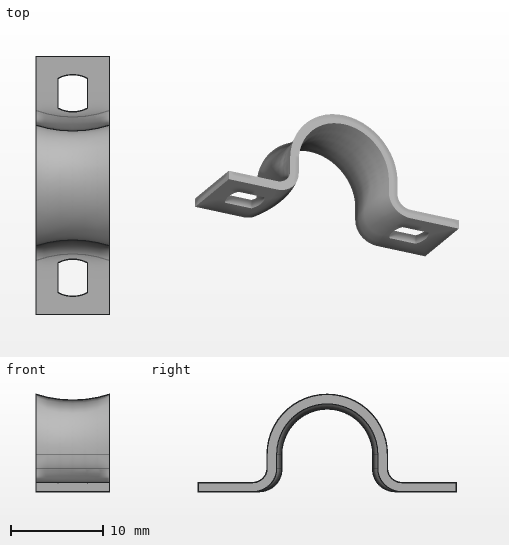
import cadquery as cq
import math

length = 28.0
width = 8.0
height = 10.58
thickness = 1.0

bore_radius = 4.9
waist_inner_radius = 14.0
waist_outer_radius = waist_inner_radius - thickness
waist_center = bore_radius + waist_inner_radius

bend_radius = 1.5
bend_outer_radius = bend_radius + thickness

slot_spacing = 20.0
slot_width = 3.15
slot_length = 4.0
slot_end_rise = 0.4

half_width = width / 2
edge_inner = waist_center - math.sqrt(waist_inner_radius**2 - half_width**2)
edge_outer = waist_center - math.sqrt(waist_outer_radius**2 - half_width**2)
crown_axis_z = height - edge_outer


def make_crown():
    """Half turn of the curved sheet section about the horizontal X axis."""
    section = (
        cq.Workplane("XY")
        .moveTo(-half_width, edge_inner)
        .threePointArc((0, bore_radius), (half_width, edge_inner))
        .lineTo(half_width, edge_outer)
        .threePointArc((0, bore_radius + thickness), (-half_width, edge_outer))
        .close()
    )
    crown = section.revolve(180, (0, 0, 0), (1, 0, 0))
    return crown.translate((0, 0, crown_axis_z))


def make_leg():
    """Wall, bend and foot on the +Y side, turned about the vertical waist axis."""
    wall_inner = bore_radius
    wall_outer = bore_radius + thickness
    bend_y = wall_outer + bend_radius
    bend_z = bend_outer_radius
    diagonal = math.sqrt(0.5)
    profile = (
        cq.Workplane("YZ")
        .moveTo(wall_inner, crown_axis_z)
        .lineTo(wall_inner, bend_z)
        .threePointArc(
            (bend_y - bend_outer_radius * diagonal, bend_z - bend_outer_radius * diagonal),
            (bend_y, 0),
        )
        .lineTo(waist_center, 0)
        .lineTo(waist_center, thickness)
        .lineTo(bend_y, thickness)
        .threePointArc(
            (bend_y - bend_radius * diagonal, bend_z - bend_radius * diagonal),
            (wall_outer, bend_z),
        )
        .lineTo(wall_outer, crown_axis_z)
        .close()
    )
    turned = profile.revolve(360, (waist_center, 0, 0), (waist_center, 1, 0))
    envelope = cq.Workplane("XY").box(width, length / 2, height, centered=(True, False, False))
    return turned.intersect(envelope)


def make_slot(center_y):
    """Cutter for one slot through a foot."""
    half_slot = slot_width / 2
    half_length = slot_length / 2
    half_side = half_length - slot_end_rise
    return (
        cq.Workplane("XY")
        .center(0, center_y)
        .moveTo(-half_slot, -half_side)
        .threePointArc((0, -half_length), (half_slot, -half_side))
        .lineTo(half_slot, half_side)
        .threePointArc((0, half_length), (-half_slot, half_side))
        .close()
        .extrude(thickness)
    )


leg = make_leg()
result = make_crown().union(leg).union(leg.mirror("XZ"))
for side in (-1, 1):
    result = result.cut(make_slot(side * slot_spacing / 2))